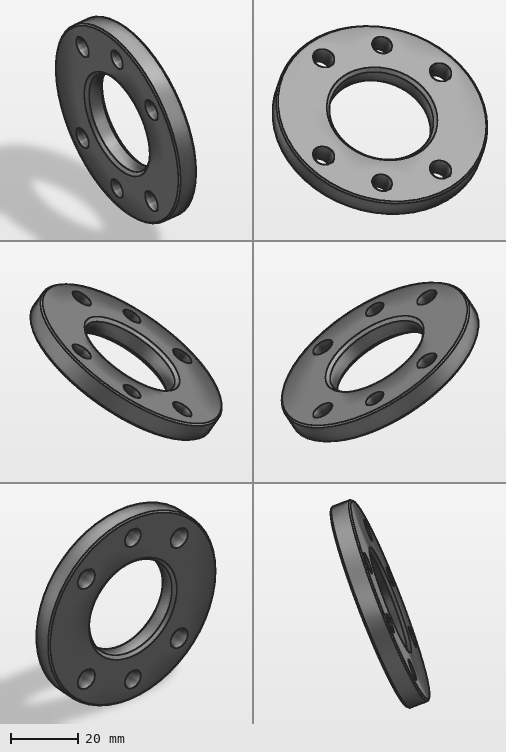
import cadquery as cq

outer_diameter = 64.0
thickness = 6.5
rim_chamfer = 0.5

bore_diameter = 31.5
bore_chamfer = 1.0

hole_circle_radius = 25.0
axis_hole_diameter = 6.0
axis_hole_angles = (90, 270)
diagonal_hole_diameter = 6.5
diagonal_hole_angles = (45, 135, 225, 315)


def make_ring():
    """Revolve the chamfered ring section (radius, axial position) about the Y axis."""
    outer_radius = outer_diameter / 2
    bore_radius = bore_diameter / 2
    half = thickness / 2
    section = [
        (bore_radius + bore_chamfer, -half),
        (outer_radius - rim_chamfer, -half),
        (outer_radius, -half + rim_chamfer),
        (outer_radius, half - rim_chamfer),
        (outer_radius - rim_chamfer, half),
        (bore_radius + bore_chamfer, half),
        (bore_radius, half - bore_chamfer),
        (bore_radius, -half + bore_chamfer),
    ]
    return cq.Workplane("XY").polyline(section).close().revolve(360, (0, 0), (0, 1))


def make_hole_cutters(diameter, angles):
    """Cylinders along Y, through the full thickness, at the given angles from +X."""
    cutters = cq.Workplane("XZ")
    for angle in angles:
        cutters = cutters.polarArray(hole_circle_radius, angle, 360, 1)
        cutters = cutters.circle(diameter / 2).extrude(thickness / 2, both=True)
    return cutters


ring = make_ring()
axis_holes = make_hole_cutters(axis_hole_diameter, axis_hole_angles)
diagonal_holes = make_hole_cutters(diagonal_hole_diameter, diagonal_hole_angles)
result = ring.cut(axis_holes).cut(diagonal_holes)